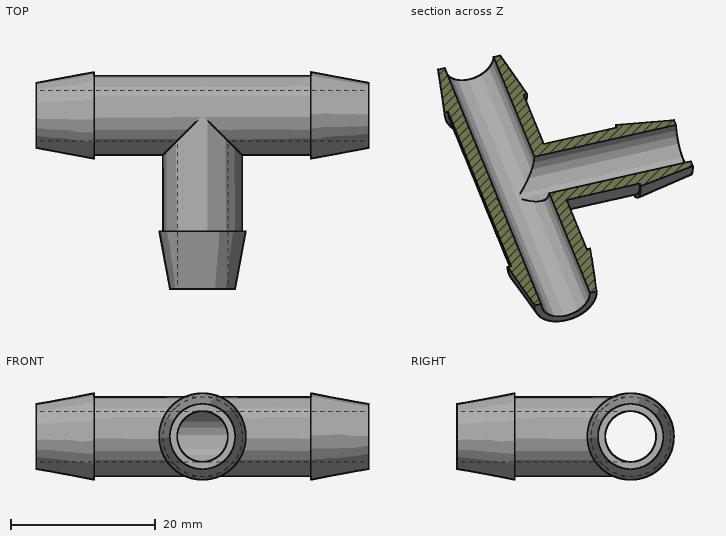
import cadquery as cq

run_length = 46.0
branch_length = 24.0
tube_diameter = 11.0
bore_diameter = 7.0
barb_diameter = 12.0
tip_diameter = 9.0
barb_length = 8.0


def arm_body(length):
    """Solid arm along +X from the origin, ending in a tapered hose barb."""
    barb_start = length - barb_length
    profile = [
        (0, 0),
        (0, tube_diameter / 2),
        (barb_start, tube_diameter / 2),
        (barb_start, barb_diameter / 2),
        (length, tip_diameter / 2),
        (length, 0),
    ]
    return cq.Workplane("XY").polyline(profile).close().revolve(360, (0, 0, 0), (1, 0, 0))


def arm_bore(length):
    """Cylinder along +X from the origin that hollows out one arm."""
    return cq.Workplane("YZ").circle(bore_diameter / 2).extrude(length)


def turn(shape, angle):
    return shape.rotate((0, 0, 0), (0, 0, 1), angle)


right_body = arm_body(run_length / 2)
run_body = right_body.union(turn(right_body, 180))
run_bore = arm_bore(run_length).translate((-run_length / 2, 0, 0))

branch_body = turn(arm_body(branch_length), -90)
branch_bore = turn(arm_bore(branch_length), -90)

result = run_body.union(branch_body).cut(run_bore).cut(branch_bore)